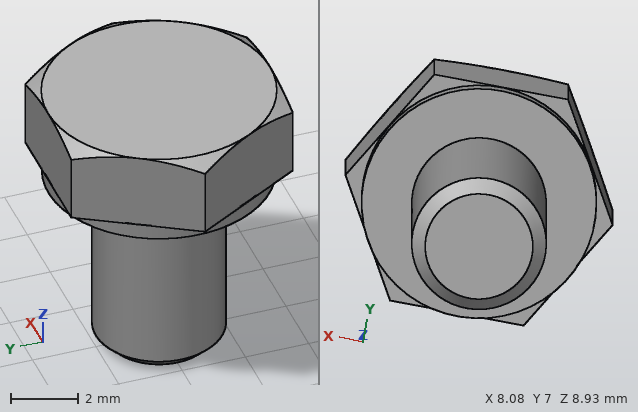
import cadquery as cq
import math

across_flats = 7.0
head_height = 2.925
collar_diameter = 6.98
collar_height = 0.49
head_chamfer_angle = 30.0

shank_diameter = 4.0
shank_length = 6.0
tip_diameter = 3.2
tip_height = 0.4

across_corners = across_flats / math.cos(math.radians(30))
hex_height = head_height - collar_height
corner_radius = across_corners / 2
top_face_radius = across_flats / 2
corner_drop = (corner_radius - top_face_radius) * math.tan(math.radians(head_chamfer_angle))


def make_hex_head():
    """Hexagon with corners on the X axis, its top corners turned to a cone."""
    hexagon = (
        cq.Workplane("XY")
        .workplane(offset=collar_height)
        .polygon(6, across_corners)
        .extrude(hex_height)
    )
    side_margin = 1.0
    rim_radius = corner_radius + side_margin
    rim_drop = corner_drop * (rim_radius - top_face_radius) / (corner_radius - top_face_radius)
    envelope = (
        cq.Workplane("XZ")
        .moveTo(0, 0)
        .lineTo(rim_radius, 0)
        .lineTo(rim_radius, head_height - rim_drop)
        .lineTo(top_face_radius, head_height)
        .lineTo(0, head_height)
        .close()
        .revolve(360, (0, 0, 0), (0, 1, 0))
    )
    return hexagon.intersect(envelope)


def make_collar_and_shank():
    """Round bearing collar and plain shank with a conical tip, as one turned profile."""
    shank_radius = shank_diameter / 2
    collar_radius = collar_diameter / 2
    return (
        cq.Workplane("XZ")
        .moveTo(0, -shank_length)
        .lineTo(tip_diameter / 2, -shank_length)
        .lineTo(shank_radius, tip_height - shank_length)
        .lineTo(shank_radius, 0)
        .lineTo(collar_radius, 0)
        .lineTo(collar_radius, collar_height)
        .lineTo(0, collar_height)
        .close()
        .revolve(360, (0, 0, 0), (0, 1, 0))
    )


result = make_hex_head().union(make_collar_and_shank())